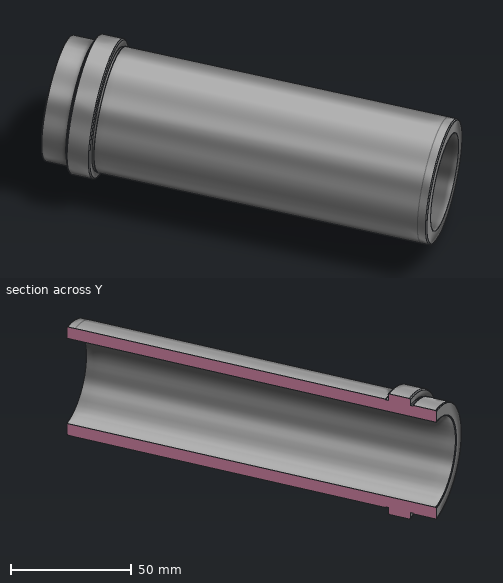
import cadquery as cq

length = 167.0
bore_radius = 42.0 / 2
body_radius = 54.0 / 2
collar_radius = 60.0 / 2

collar_start = 11.7
collar_end = 21.9
collar_chamfer = 0.5
groove_width = 1.0
groove_depth = 0.3

mouth_chamfer = 0.3
seat_chamfer = 0.3

lead_length = 4.0
lead_drop = 0.08
end_chamfer = 0.5

groove_radius = body_radius - groove_depth
lead_radius = body_radius - lead_drop


def half_section():
    """Half of the lengthwise section: X along the axis, Y as the radius."""
    return (
        cq.Workplane("XY")
        .moveTo(mouth_chamfer, bore_radius)
        .lineTo(0, bore_radius + mouth_chamfer)
        .lineTo(0, body_radius - seat_chamfer)
        .lineTo(seat_chamfer, body_radius)
        .lineTo(collar_start - groove_width, body_radius)
        .lineTo(collar_start - groove_width, groove_radius)
        .lineTo(collar_start, groove_radius)
        .lineTo(collar_start, collar_radius - collar_chamfer)
        .lineTo(collar_start + collar_chamfer, collar_radius)
        .lineTo(collar_end - collar_chamfer, collar_radius)
        .lineTo(collar_end, collar_radius - collar_chamfer)
        .lineTo(collar_end, groove_radius)
        .lineTo(collar_end + groove_width, groove_radius)
        .lineTo(collar_end + groove_width, body_radius)
        .lineTo(length - lead_length, body_radius)
        .lineTo(length - end_chamfer, lead_radius)
        .lineTo(length, lead_radius - end_chamfer)
        .lineTo(length, bore_radius)
        .close()
    )


result = half_section().revolve(360, (0, 0, 0), (1, 0, 0))